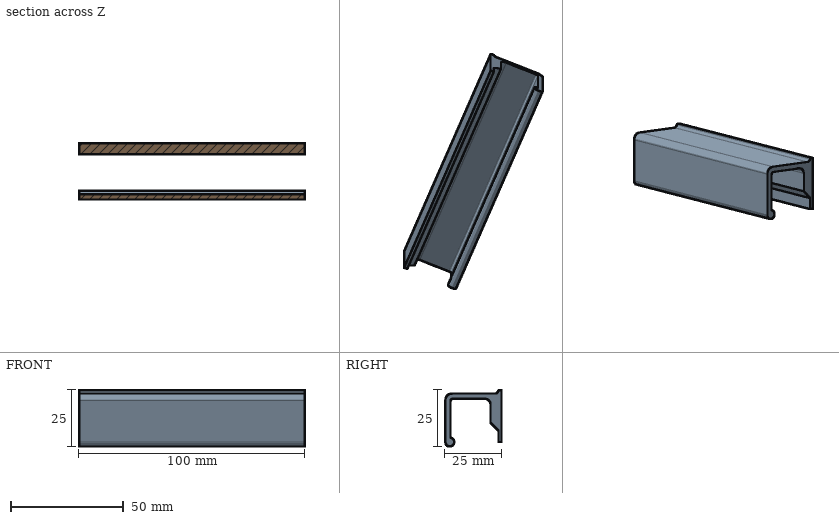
import cadquery as cq
import math

length = 100.0
width = 25.0
height = 25.0

wall = 2.4
outer_radius = 3.0
inner_radius = 1.0

flange_thickness = 1.5
flange_height = 23.0
lip_height = 1.5
lip_edge_radius = 0.5

block_thickness = 5.0
block_drop = 14.5
block_fillet = 2.5

bead_radius = 2.0

web_top = height - lip_height
web_bottom = web_top - wall
flange_bottom = height - flange_height
flange_face = width - flange_thickness
block_face = width - block_thickness
taper_top = height - block_drop
taper_bottom = taper_top - (block_thickness - flange_thickness)


hollow_radius = lip_height
hollow_center_y = flange_face - hollow_radius
center_distance = hollow_radius + lip_edge_radius
edge_center_z = height - lip_edge_radius
tangent_angle = math.asin(lip_edge_radius / center_distance)
edge_center_y = hollow_center_y + center_distance * math.cos(tangent_angle)


def hollow_point(angle):
    """Point on the hollow arc at an angle below the +Y direction."""
    y = hollow_center_y + hollow_radius * math.cos(angle)
    z = height - hollow_radius * math.sin(angle)
    return y, z


def make_channel():
    """Flange, web and front wall, extruded along X with only the lip rounded."""
    edge_angle = (math.pi / 2 + math.pi - tangent_angle) / 2
    edge_middle = (
        edge_center_y + lip_edge_radius * math.cos(edge_angle),
        edge_center_z + lip_edge_radius * math.sin(edge_angle),
    )
    hollow_middle = hollow_point((tangent_angle + math.pi / 2) / 2)
    outline = (
        cq.Workplane("YZ")
        .moveTo(width, flange_bottom)
        .lineTo(width, height)
        .lineTo(edge_center_y, height)
        .threePointArc(edge_middle, hollow_point(tangent_angle))
        .threePointArc(hollow_middle, (hollow_center_y, web_top))
        .lineTo(0, web_top)
        .lineTo(0, bead_radius)
        .lineTo(wall, bead_radius)
        .lineTo(wall, web_bottom)
        .lineTo(block_face, web_bottom)
        .lineTo(block_face, taper_top)
        .lineTo(flange_face, taper_bottom)
        .lineTo(flange_face, flange_bottom)
        .close()
    )
    return outline.extrude(length)


def round_corner(body, y, z, radius):
    """Fillet the lengthwise edge that passes through (y, z)."""
    edge = cq.selectors.NearestToPointSelector((length / 2, y, z))
    return body.edges(edge).fillet(radius)


def make_bead():
    """Cylinder tangent to the front face and to the bottom plane."""
    center = (bead_radius, bead_radius)
    return cq.Workplane("YZ").center(*center).circle(bead_radius).extrude(length)


channel = make_channel()
for corner_y, corner_z, corner_radius in [
    (0, web_top, outer_radius),
    (wall, web_bottom, inner_radius),
    (block_face, web_bottom, block_fillet),
]:
    channel = round_corner(channel, corner_y, corner_z, corner_radius)

result = channel.union(make_bead())